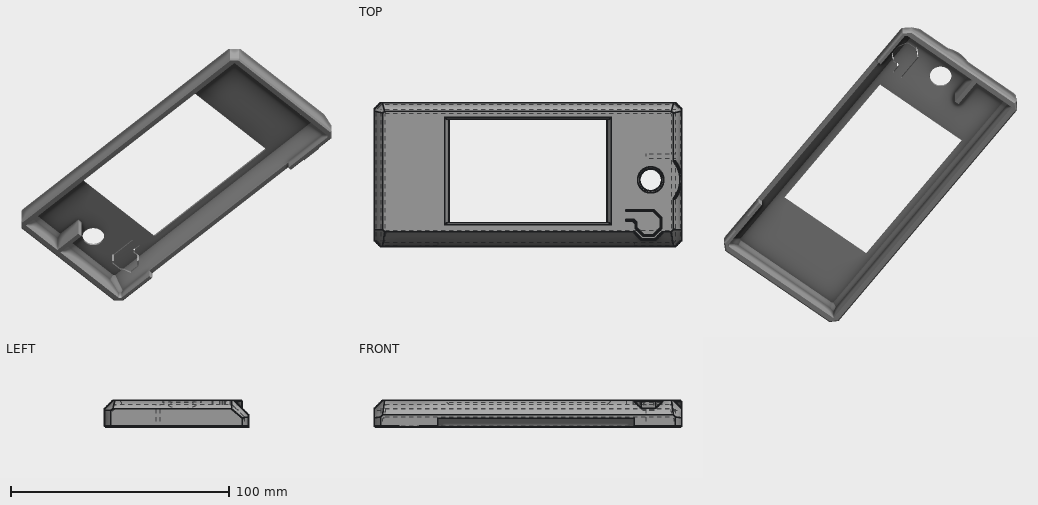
import cadquery as cq
import math

LENGTH = 141.0
WIDTH = 66.0
HEIGHT = 12.4
CORNER_CUT = 3.0
TOP_CHAMFER = 4.0
FRONT_CHAMFER = 6.8
BOTTOM_CHAMFER = 0.7
SHELL = 2.0
WALL = 3.0
END_X = LENGTH / 2
SIDE_Y = WIDTH / 2

BACK_FACET_SLOPE = 1.23
BACK_FACET_TOP = 0.8
FRONT_FACET_SPREAD = 0.86
FRONT_FACET_TOP = 1.0

WINDOW_LENGTH = 72.2
WINDOW_Y_MIN = -22.0
WINDOW_Y_MAX = 25.3
END_BEVEL = SHELL
SIDE_BEVEL = 1.0

HOLE_X = 56.2
HOLE_Y = -2.4
HOLE_DIAMETER = 9.97
HOLE_CHAMFER = 1.0
BULGE_RADIUS = 14.2
BULGE_CHAMFER = 0.8

RIB_Y = 7.6
RIB_X_MIN = 54.0

BUTTON_SIDES = 8
BUTTON_X = 55.15
BUTTON_Y = -22.1
BUTTON_APOTHEM = 5.7
PAD_APOTHEM = 7.9
PAD_CHAMFER = 0.6
SLOT_WIDTH = 0.5
HINGE_END_X = 44.9
HINGE_Y = -20.9
HINGE_CORNER = 1.2

NOTCH_X_MIN = -41.4
NOTCH_X_MAX = 48.6
NOTCH_HEIGHT = 4.0
PLAIN_EDGE_X_MIN = -59.3
PLAIN_EDGE_X_MAX = -49.6

CUTTER_SIZE = 2 * LENGTH


def block(x_min, x_max, y_min, y_max, z_min, z_max):
    size = (x_max - x_min, y_max - y_min, z_max - z_min)
    return cq.Workplane("XY").box(*size, centered=False).translate((x_min, y_min, z_min))


def trim(body, point, normal, inset):
    """Remove everything beyond a plane moved inward by inset."""
    unit = cq.Vector(*normal).normalized()
    origin = cq.Vector(*point) - unit * inset
    plane = cq.Plane(origin=origin.toTuple(), normal=unit.toTuple())
    cutter = cq.Workplane(plane).rect(CUTTER_SIZE, CUTTER_SIZE).extrude(CUTTER_SIZE)
    return body.cut(cutter)


def chamfered_body(inset):
    """Body with its side, corner and top faces moved inward by inset."""
    body = block(
        inset - END_X, END_X - inset, inset - SIDE_Y, SIDE_Y - inset, 0, HEIGHT - inset
    )
    back_edge_y = SIDE_Y - TOP_CHAMFER
    front_edge_y = FRONT_CHAMFER - SIDE_Y
    end_edge_x = END_X - TOP_CHAMFER
    body = trim(body, (0, back_edge_y, HEIGHT), (0, 1, 1), inset)
    body = trim(body, (0, front_edge_y, HEIGHT), (0, -1, 1), inset)
    for side in (-1, 1):
        body = trim(body, (side * end_edge_x, 0, HEIGHT), (side, 0, 1), inset)
        for end in (-1, 1):
            corner = (side * END_X, end * (SIDE_Y - CORNER_CUT), 0)
            body = trim(body, corner, (side, end, 0), inset)
        back_corner = (side * end_edge_x, back_edge_y - BACK_FACET_TOP, HEIGHT)
        body = trim(body, back_corner, (side, 1, BACK_FACET_SLOPE), inset)
        front_corner = (side * end_edge_x, front_edge_y + FRONT_FACET_TOP, HEIGHT)
        body = trim(body, front_corner, (side, -FRONT_FACET_SPREAD, 1), inset)
    return body


def octagon(apothem):
    """Octagon prism of full height around the button, with flats along X and Y."""
    diameter = 2 * apothem / math.cos(math.pi / BUTTON_SIDES)
    return (
        cq.Workplane("XY")
        .polygon(BUTTON_SIDES, diameter)
        .extrude(HEIGHT)
        .rotate((0, 0, 0), (0, 0, 1), 180 / BUTTON_SIDES)
        .translate((BUTTON_X, BUTTON_Y, 0))
    )


def outer_body():
    """Chamfered body with the raised bulge and button pad."""
    body = chamfered_body(0).faces("<Z").chamfer(BOTTOM_CHAMFER)
    body = body.union(
        block(PLAIN_EDGE_X_MIN, PLAIN_EDGE_X_MAX, -SIDE_Y, SHELL - SIDE_Y, 0, NOTCH_HEIGHT)
    )
    bulge = cq.Workplane("XY").center(HOLE_X, HOLE_Y).circle(BULGE_RADIUS).extrude(HEIGHT)
    raised = bulge.faces(">Z").chamfer(BULGE_CHAMFER)
    raised = raised.union(octagon(PAD_APOTHEM).faces(">Z").chamfer(PAD_CHAMFER))
    within_outline = block(0, END_X, -SIDE_Y, SIDE_Y, NOTCH_HEIGHT, HEIGHT)
    return body.union(raised.intersect(within_outline))


def cavity():
    """Hollow underside, leaving the rib that stands on the +X wall."""
    inner_x = END_X - WALL
    hollow = chamfered_body(SHELL)
    hollow = hollow.intersect(
        block(-inner_x, inner_x, -SIDE_Y, SIDE_Y - WALL, 0, HEIGHT)
    )
    return hollow.cut(block(RIB_X_MIN, inner_x, RIB_Y, RIB_Y + SHELL, 0, HEIGHT))


def window():
    """Rectangular opening with 45 degree bevels along its upper edges."""
    half_length = WINDOW_LENGTH / 2
    width = WINDOW_Y_MAX - WINDOW_Y_MIN
    opening = block(-half_length, half_length, WINDOW_Y_MIN, WINDOW_Y_MAX, 0, HEIGHT)
    end_bevels = bevel_frustum(END_BEVEL, WINDOW_LENGTH, width, 2 * END_BEVEL, 0)
    length_at_side_bevel = WINDOW_LENGTH + 2 * (END_BEVEL - SIDE_BEVEL)
    side_bevels = bevel_frustum(
        SIDE_BEVEL, length_at_side_bevel, width, 2 * SIDE_BEVEL, 2 * SIDE_BEVEL
    )
    return opening.union(end_bevels).union(side_bevels)


def bevel_frustum(depth, length, width, growth_x, growth_y):
    """Prism under the top face that widens upward by the given growth in X and Y."""
    center_y = (WINDOW_Y_MIN + WINDOW_Y_MAX) / 2
    return (
        cq.Workplane("XY", origin=(0, center_y, HEIGHT - depth))
        .rect(length, width)
        .workplane(offset=depth)
        .rect(length + growth_x, width + growth_y)
        .loft()
    )


def round_hole():
    """Through hole with a chamfered upper rim."""
    radius = HOLE_DIAMETER / 2
    drill = cq.Workplane("XY").circle(radius).extrude(HEIGHT)
    sink = (
        cq.Workplane("XY", origin=(0, 0, HEIGHT - HOLE_CHAMFER))
        .circle(radius)
        .workplane(offset=HOLE_CHAMFER)
        .circle(radius + HOLE_CHAMFER)
        .loft()
    )
    return drill.union(sink).translate((HOLE_X, HOLE_Y, 0))


def button_outline(offset):
    """Tab of the button and its hinge strip, grown outward by offset."""
    apothem = BUTTON_APOTHEM + offset
    top_y = BUTTON_Y + apothem
    low_y = HINGE_Y - offset
    left_x = BUTTON_X - apothem
    strip = block(HINGE_END_X, BUTTON_X, low_y, top_y, 0, HEIGHT)
    corner = (
        cq.Workplane("XY")
        .moveTo(left_x - HINGE_CORNER, low_y)
        .lineTo(left_x, low_y - HINGE_CORNER)
        .lineTo(BUTTON_X, low_y - HINGE_CORNER)
        .lineTo(BUTTON_X, low_y)
        .close()
        .extrude(HEIGHT)
    )
    return octagon(apothem).union(strip).union(corner)


def button_slot():
    """Narrow slot around the button and along both sides of its hinge strip."""
    half = SLOT_WIDTH / 2
    return button_outline(half).cut(button_outline(-half))


def notch():
    """Opening through the lower edge of the -Y wall."""
    return block(NOTCH_X_MIN, NOTCH_X_MAX, -SIDE_Y, 0, 0, NOTCH_HEIGHT)


result = (
    outer_body()
    .cut(cavity())
    .cut(window())
    .cut(round_hole())
    .cut(button_slot())
    .cut(notch())
)